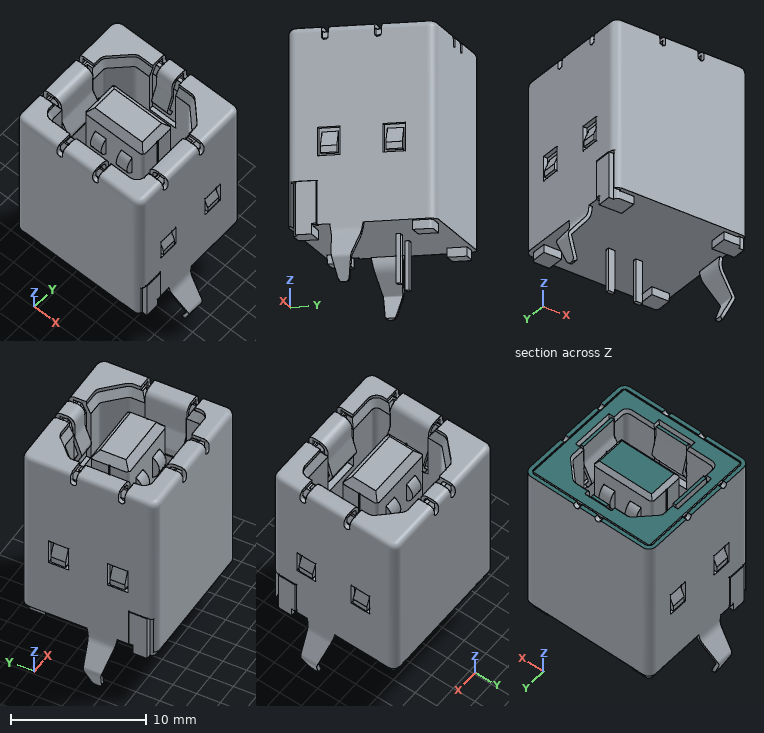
import cadquery as cq
import math


shell_x = 12.16
shell_y = 11.46
shell_height = 15.02
shell_corner_radius = 0.7
shell_top_radius = 0.5
wall = 0.38
top_plate = 0.32
sheet = 0.3

core_x = shell_x - 2 * wall
core_y = shell_y - 2 * wall
core_top = shell_height - top_plate
core_corner_radius = shell_corner_radius - wall
core_chamfer_width = 0.4
core_chamfer_height = 0.53

opening_x = 9.28
opening_y = 8.52
opening_bevel = 1.83
opening_radius = 0.8
lead_in_width = 0.38
lead_in_depth = 0.75
lead_in_angle = math.degrees(math.atan(lead_in_width / lead_in_depth))
cavity_floor = 6.0

slot_width = 0.52
slot_depth = 1.04
side_tab_width = 3.54
side_tab_y = -0.78
side_tab_flat_end = 5.05
side_tab_reach = 4.3
side_tab_kink_z = 12.4
front_tab_width = 2.95
front_tab_flat_end = 4.75
front_tab_reach = 3.95
front_tab_kink_z = 13.15
back_tab_width = 1.52
back_tab_flat_end = 4.77
back_tab_reach = 4.08
back_tab_kink_z = 13.15
tab_kink_radius = 1.1
tab_tip_drop = 1.6
tab_tip_distance = 3.5
tab_tip_radius = 0.35
tab_end_drop = 0.7
tab_end_setback = 0.35

pocket_floor = 9.5
side_pocket_wall = 5.14
side_pocket_width = 4.24
front_pocket_wall = 4.83
front_pocket_width = 3.86
back_pocket_wall = 4.63

tongue_x = 5.7
tongue_y = 3.27
tongue_top = 14.55
tongue_bevel_width = 0.54
tongue_bevel_height = 0.68
tongue_radius = 0.25
tongue_rib_width = 0.12
tongue_rib_height = 0.07
tongue_rib_top = 13.9
contact_x = 1.26
contact_width = 1.05
contact_bulge = 0.58
contact_z = 11.5
contact_half_height = 1.0

pin_x = 1.245
pin_y = 1.6
pin_width = 0.6
pin_thickness = 0.32
pin_length = 3.72

side_face = 6.14

window_y = 2.5
window_width = 1.7
window_bottom = 5.2
window_top = 7.35
latch_width = 1.26
latch_bottom = 5.4
latch_ridge = 5.92
latch_top = 7.06

foot_height = 0.7
foot_x = 1.6
foot_y = 1.54
block_cutout_y_min = -5.44
block_cutout_y_max = -3.39
block_cutout_top = 3.34
block_y_min = -5.02
block_y_max = -3.47
block_step_z = 0.1
block_foot_y_max = foot_y - core_y / 2

leg_y = -1.16
leg_root_width = 2.56
leg_tip_width = 0.92
leg_taper_length = 4.2
leg_tip_radius = 0.45
leg_bend_z = -0.78
leg_bend_radius = 1.25
leg_knee_x = 7.62
leg_knee_z = -2.72
leg_knee_radius = 0.3
leg_tip_x = 6.65
leg_tip_z = -4.56


def box(x_range, y_range, z_range):
    """Axis-aligned box given by its limits along each axis."""
    (x0, x1), (y0, y1), (z0, z1) = (sorted(r) for r in (x_range, y_range, z_range))
    return cq.Workplane("XY").box(x1 - x0, y1 - y0, z1 - z0, centered=False).translate((x0, y0, z0))


def bevelled_block(size, z_range, corner_radius, bevel):
    """Block centred on the Z axis with rounded upright edges and a bevel around its top."""
    bottom, top = z_range
    bevel_width, bevel_height = bevel
    shoulder = top - bevel_height
    block = cq.Workplane("XY", origin=(0, 0, bottom)).rect(*size).extrude(top - bottom)
    column = cq.Workplane("XY", origin=(0, 0, bottom)).rect(*size).extrude(shoulder - bottom)
    bevel_angle = math.degrees(math.atan(bevel_width / bevel_height))
    crown = cq.Workplane("XY", origin=(0, 0, shoulder)).rect(*size)
    crown = crown.extrude(bevel_height, taper=bevel_angle)
    return block.edges("|Z").fillet(corner_radius).intersect(column.union(crown))


def both_sides(body):
    """Body together with its mirror image across the YZ plane."""
    return body.union(body.mirror("YZ"))


def bent_strip(points, radii, width, thickness):
    """Strip in the XZ plane along a polyline whose inner corners are rounded."""
    corners = [cq.Vector(x, 0, z) for x, z in points]
    edges = []
    start = corners[0]
    for before, corner, after, radius in zip(corners, corners[1:], corners[2:], radii):
        to_before = (before - corner).normalized()
        to_after = (after - corner).normalized()
        half_angle = to_before.getAngle(to_after) / 2
        tangent_length = radius / math.tan(half_angle)
        arc_start = corner + to_before * tangent_length
        arc_end = corner + to_after * tangent_length
        bisector = (to_before + to_after).normalized()
        arc_middle = corner + bisector * (radius / math.sin(half_angle) - radius)
        edges.append(cq.Edge.makeLine(start, arc_start))
        edges.append(cq.Edge.makeThreePointArc(arc_start, arc_middle, arc_end))
        start = arc_end
    edges.append(cq.Edge.makeLine(start, corners[-1]))
    path = cq.Workplane("XY").newObject([cq.Wire.assembleEdges(edges)])
    section_plane = cq.Plane(corners[0], xDir=(0, 1, 0), normal=corners[1] - corners[0])
    return cq.Workplane(section_plane).rect(width, thickness).sweep(path)


def opening_outline(z):
    """Sketch of the plug opening: a rectangle with two bevelled corners on +Y."""
    half_x = opening_x / 2
    half_y = opening_y / 2
    points = [
        (-half_x, -half_y),
        (half_x, -half_y),
        (half_x, half_y - opening_bevel),
        (half_x - opening_bevel, half_y),
        (opening_bevel - half_x, half_y),
        (-half_x, half_y - opening_bevel),
    ]
    outline = cq.Sketch().polygon(points + points[:1]).vertices().fillet(opening_radius)
    return cq.Workplane("XY", origin=(0, 0, z)).placeSketch(outline)


def tapered_pocket(center, size_x, size_y, floor):
    """Rectangular pocket from the core top with a sloped lead-in and straight walls below."""
    rim = cq.Workplane("XY", origin=(*center, core_top)).rect(size_x, size_y)
    lead_in = rim.extrude(-lead_in_depth, taper=lead_in_angle)
    throat = cq.Workplane("XY", origin=(*center, core_top))
    throat = throat.rect(size_x - 2 * lead_in_width, size_y - 2 * lead_in_width)
    return lead_in.union(throat.extrude(floor - core_top))


def slot_cutter(tab_width, tab_offset, flat_end):
    """Cutter for a tab pointing along +X: two round-ended slots and the space inside the flat."""
    reach = shell_x
    radius = slot_width / 2
    round_z = shell_height - slot_depth + radius
    half_span = tab_width / 2 + slot_width
    cutter = box(
        (tab_tip_distance, flat_end),
        (tab_offset - half_span, tab_offset + half_span),
        (core_top, shell_height),
    )
    for side in (-1, 1):
        y = tab_offset + side * (tab_width + slot_width) / 2
        slot = box((tab_tip_distance, reach), (y - radius, y + radius), (round_z, shell_height))
        slot_end = cq.Workplane("YZ", origin=(tab_tip_distance, y, round_z))
        slot_end = slot_end.circle(radius).extrude(reach - tab_tip_distance)
        cutter = cutter.union(slot).union(slot_end)
    return cutter


def spring_tab(tab_width, tab_offset, flat_end, reach, kink_z):
    """Contact spring for the plug shell, bent down from the top plate toward the tongue."""
    middle_z = shell_height - sheet / 2
    middle_reach = reach + sheet / 2
    middle_tip = tab_tip_distance + sheet / 2
    tip_z = kink_z - tab_tip_drop
    points = [
        (flat_end + sheet / 2, middle_z),
        (middle_reach, middle_z),
        (middle_reach, kink_z),
        (middle_tip, tip_z),
        (middle_tip + tab_end_setback, tip_z - tab_end_drop),
    ]
    radii = (flat_end - middle_reach, tab_kink_radius, tab_tip_radius)
    return bent_strip(points, radii, tab_width, sheet).translate((0, tab_offset, 0))


def toward_front(body):
    """Turn a body made for +X so that it points along -Y."""
    return body.rotate((0, 0, 0), (0, 0, 1), -90)


def toward_back(body):
    """Turn a body made for +X so that it points along +Y."""
    return body.rotate((0, 0, 0), (0, 0, 1), 90)


def make_shell():
    """Open-bottomed shell with its plug opening, slots, windows and corner cutouts."""
    shell = cq.Workplane("XY").box(shell_x, shell_y, shell_height, centered=(True, True, False))
    shell = shell.edges("|Z").fillet(shell_corner_radius).faces(">Z").edges().fillet(shell_top_radius)
    inside = cq.Workplane("XY").box(core_x, core_y, core_top, centered=(True, True, False))
    shell = shell.cut(inside.edges("|Z").fillet(core_corner_radius))
    shell = shell.cut(opening_outline(core_top).extrude(top_plate))

    side_slots = slot_cutter(side_tab_width, side_tab_y, side_tab_flat_end)
    front_slots = slot_cutter(front_tab_width, 0, front_tab_flat_end)
    back_slots = slot_cutter(back_tab_width, 0, back_tab_flat_end)
    shell = shell.cut(both_sides(side_slots))
    shell = shell.cut(toward_front(front_slots)).cut(toward_back(back_slots))

    wall_range = (core_x / 2 - core_corner_radius, shell_x / 2)
    cutouts = box(wall_range, (block_cutout_y_min, block_cutout_y_max), (0, block_cutout_top))
    for y in (-window_y, window_y):
        y_range = (y - window_width / 2, y + window_width / 2)
        cutouts = cutouts.union(box(wall_range, y_range, (window_bottom, window_top)))
    return shell.cut(both_sides(cutouts))


def make_tabs():
    """The four spring tabs around the plug opening."""
    side_tab = spring_tab(side_tab_width, side_tab_y, side_tab_flat_end, side_tab_reach, side_tab_kink_z)
    front_tab = spring_tab(front_tab_width, 0, front_tab_flat_end, front_tab_reach, front_tab_kink_z)
    back_tab = spring_tab(back_tab_width, 0, back_tab_flat_end, back_tab_reach, back_tab_kink_z)
    return both_sides(side_tab).union(toward_front(front_tab)).union(toward_back(back_tab))


def back_pocket():
    """Pocket behind the +Y tab: straight sides and a sloped upper back wall."""
    throat_wall = back_pocket_wall - lead_in_width
    profile = [
        (0, core_top),
        (back_pocket_wall, core_top),
        (throat_wall, core_top - lead_in_depth),
        (throat_wall, pocket_floor),
        (0, pocket_floor),
    ]
    half_width = back_tab_width / 2 + slot_width
    return cq.Workplane("YZ").polyline(profile).close().extrude(half_width, both=True)


def make_cavity():
    """Plug cavity in the core, with the pockets that give the tabs room."""
    cavity = opening_outline(core_top).extrude(-lead_in_depth, taper=lead_in_angle)
    throat = cavity.faces("<Z").wires().toPending()
    throat = throat.extrude(cavity_floor - core_top + lead_in_depth, combine=False)
    side_pockets = tapered_pocket((0, side_tab_y), 2 * side_pocket_wall, side_pocket_width, pocket_floor)
    front_pocket = tapered_pocket(
        (0, -front_pocket_wall / 2), front_pocket_width, front_pocket_wall, pocket_floor
    )
    return cavity.union(throat).union(side_pockets).union(front_pocket).union(back_pocket())


def make_tongue():
    """Central contact carrier with a bevelled top and a small rib on each end."""
    tongue = bevelled_block(
        (tongue_x, tongue_y),
        (cavity_floor, tongue_top),
        tongue_radius,
        (tongue_bevel_width, tongue_bevel_height),
    )
    rib_x = tongue_x / 2 + tongue_rib_height
    rib_y = tongue_rib_width / 2
    return tongue.union(box((-rib_x, rib_x), (-rib_y, rib_y), (cavity_floor, tongue_rib_top)))


def make_contacts():
    """Four contacts bulging from the long faces of the tongue."""
    contacts = cq.Workplane("XY")
    for side_y in (-1, 1):
        face = side_y * tongue_y / 2
        bulge = cq.Workplane("YZ").moveTo(0, contact_z - contact_half_height)
        bulge = bulge.lineTo(face, contact_z - contact_half_height)
        bulge = bulge.threePointArc(
            (face + side_y * contact_bulge, contact_z), (face, contact_z + contact_half_height)
        )
        bulge = bulge.lineTo(0, contact_z + contact_half_height).close()
        bulge = bulge.extrude(contact_width / 2, both=True)
        for x in (-contact_x, contact_x):
            contacts = contacts.union(bulge.translate((x, 0, 0)))
    return contacts


def make_feet():
    """Corner feet that continue the core outline below the shell."""
    outline = cq.Workplane("XY", origin=(0, 0, -foot_height))
    outline = outline.box(core_x, core_y, foot_height, centered=(True, True, False))
    outline = outline.edges("|Z").fillet(core_corner_radius)
    feet_corners = cq.Workplane("XY")
    for side_y in (-1, 1):
        x_range = (core_x / 2 - foot_x, core_x / 2)
        y_range = (side_y * (core_y / 2 - foot_y), side_y * core_y / 2)
        feet_corners = feet_corners.union(box(x_range, y_range, (-foot_height, 0)))
    return outline.intersect(both_sides(feet_corners))


def make_side_blocks():
    """Raised blocks that fill the shell cutouts and continue down over the front feet."""
    x_range = (core_x / 2 - core_corner_radius, side_face)
    upper = box(x_range, (block_y_min, block_y_max), (block_step_z, block_cutout_top))
    lower = box(x_range, (block_y_min, block_foot_y_max), (-foot_height, block_step_z))
    return both_sides(upper.union(lower))


def make_latches():
    """Wedges on the core that catch in the shell windows."""
    profile = [
        (0, latch_bottom),
        (side_face, latch_bottom),
        (side_face, latch_ridge),
        (core_x / 2, latch_top),
        (0, latch_top),
    ]
    wedge = cq.Workplane("XZ").polyline(profile).close().extrude(latch_width / 2, both=True)
    outer_part = box((core_x / 2 - wall, shell_x), (-window_width, window_width), (0, core_top))
    wedge = wedge.intersect(outer_part)
    return both_sides(wedge.translate((0, window_y, 0)).union(wedge.translate((0, -window_y, 0))))


def make_core():
    """Plastic core with its cavity, tongue, feet, side blocks and latches."""
    core_bevel = (core_chamfer_width, core_chamfer_height)
    core = bevelled_block((core_x, core_y), (0, core_top), core_corner_radius, core_bevel)
    core = core.cut(make_cavity())
    for addition in (make_tongue(), make_contacts(), make_feet(), make_side_blocks(), make_latches()):
        core = core.union(addition)
    return core


def make_pins():
    """Solder pins below the core."""
    pins = cq.Workplane("XY").pushPoints([(-pin_x, pin_y), (pin_x, pin_y)])
    return pins.rect(pin_width, pin_thickness).extrude(-pin_length)


def make_legs():
    """Kinked, tapering board-lock legs that continue the side walls downward."""
    middle_x = shell_x / 2 - sheet / 2
    points = [
        (middle_x, 0),
        (middle_x, leg_bend_z),
        (leg_knee_x - sheet / 2, leg_knee_z),
        (leg_tip_x, leg_tip_z),
    ]
    leg = bent_strip(points, (leg_bend_radius, leg_knee_radius), leg_root_width, sheet)
    half_root = leg_root_width / 2
    half_tip = leg_tip_width / 2
    taper = cq.Workplane("YZ").moveTo(-half_root, 0).lineTo(half_root, 0)
    taper = taper.lineTo(half_tip, -leg_taper_length)
    taper = taper.threePointArc((0, -leg_taper_length - leg_tip_radius), (-half_tip, -leg_taper_length))
    leg = leg.intersect(taper.close().extrude(shell_x))
    return both_sides(leg.translate((0, leg_y, 0)))


result = make_core().union(make_shell()).union(make_tabs()).union(make_legs()).union(make_pins())